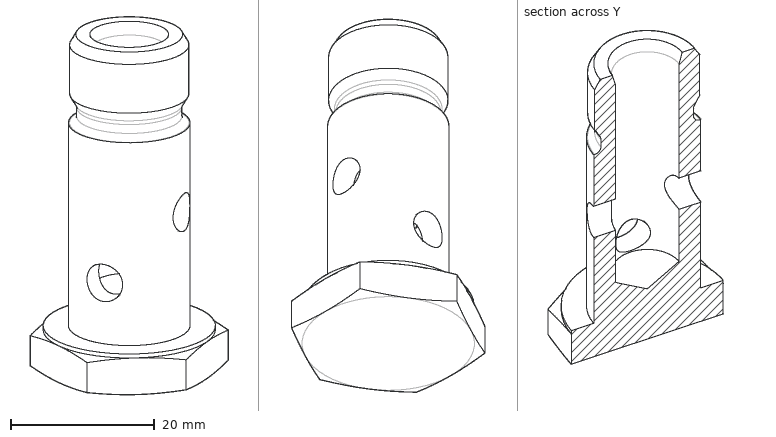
import cadquery as cq
import math

LENGTH = 49.0

HEAD_SIDES = 6
ACROSS_FLATS = 24.0
HEAD_HEIGHT = 6.05
WASHER_HEIGHT = 0.6
HEAD_CHAMFER_ANGLE = 15.0

BODY_DIAMETER = 16.95
BODY_TOP = 35.95
NECK_DIAMETER = 14.7
SHOULDER_FILLET = 1.0
THREAD_DIAMETER = 16.65
THREAD_BOTTOM = 40.3
RUNOUT_ANGLE = 30.0
RUNOUT_FILLET = 1.22
TIP_DIAMETER = 14.9
TIP_CHAMFER_HEIGHT = 1.5

BORE_DIAMETER = 10.0
BORE_MOUTH_DIAMETER = 11.0
BORE_MOUTH_DEPTH = 1.85
BORE_FLOOR = 12.0
DRILL_POINT_ANGLE = 118.0
CROSS_HOLE_DIAMETER = 5.5
LOWER_HOLE_Z = 15.0
UPPER_HOLE_Z = 24.0


def make_head():
    """Hexagon with both faces chamfered at the corners and a round washer face on top."""
    half_side_angle = 180 / HEAD_SIDES
    flat_radius = ACROSS_FLATS / 2
    corner_radius = flat_radius / math.cos(math.radians(half_side_angle))
    chamfer_drop = (corner_radius - flat_radius) * math.tan(math.radians(HEAD_CHAMFER_ANGLE))
    hex_top = HEAD_HEIGHT - WASHER_HEIGHT

    hexagon = (
        cq.Workplane("XY")
        .polygon(HEAD_SIDES, 2 * corner_radius)
        .extrude(HEAD_HEIGHT)
        .rotate((0, 0, 0), (0, 0, 1), half_side_angle)
    )
    turned_blank = (
        cq.Workplane("XZ")
        .moveTo(0, 0)
        .lineTo(flat_radius, 0)
        .lineTo(corner_radius, chamfer_drop)
        .lineTo(corner_radius, hex_top - chamfer_drop)
        .lineTo(flat_radius, hex_top)
        .lineTo(flat_radius, HEAD_HEIGHT)
        .lineTo(0, HEAD_HEIGHT)
        .close()
        .revolve(360, (0, 0, 0), (0, 1, 0))
    )
    return hexagon.intersect(turned_blank)


def make_shank():
    """Turned shank: plain body, undercut neck with filleted ends, and chamfered thread length."""
    body_radius = BODY_DIAMETER / 2
    neck_radius = NECK_DIAMETER / 2
    thread_radius = THREAD_DIAMETER / 2
    runout = math.radians(RUNOUT_ANGLE)

    blend_radius = neck_radius + RUNOUT_FILLET * (1 - math.cos(runout))
    blend_top = THREAD_BOTTOM - (thread_radius - blend_radius) / math.tan(runout)
    blend_bottom = blend_top - RUNOUT_FILLET * math.sin(runout)

    return (
        cq.Workplane("XZ")
        .moveTo(0, 0)
        .lineTo(body_radius, 0)
        .lineTo(body_radius, BODY_TOP)
        .lineTo(neck_radius + SHOULDER_FILLET, BODY_TOP)
        .tangentArcPoint((neck_radius, BODY_TOP + SHOULDER_FILLET), relative=False)
        .lineTo(neck_radius, blend_bottom)
        .tangentArcPoint((blend_radius, blend_top), relative=False)
        .lineTo(thread_radius, THREAD_BOTTOM)
        .lineTo(thread_radius, LENGTH - TIP_CHAMFER_HEIGHT)
        .lineTo(TIP_DIAMETER / 2, LENGTH)
        .lineTo(0, LENGTH)
        .close()
        .revolve(360, (0, 0, 0), (0, 1, 0))
    )


def make_bore():
    """Blind axial bore with a tapered mouth and a conical drill-point floor."""
    bore_radius = BORE_DIAMETER / 2
    point_depth = bore_radius / math.tan(math.radians(DRILL_POINT_ANGLE / 2))
    return (
        cq.Workplane("XZ")
        .moveTo(0, BORE_FLOOR - point_depth)
        .lineTo(bore_radius, BORE_FLOOR)
        .lineTo(bore_radius, LENGTH - BORE_MOUTH_DEPTH)
        .lineTo(BORE_MOUTH_DIAMETER / 2, LENGTH)
        .lineTo(0, LENGTH)
        .close()
        .revolve(360, (0, 0, 0), (0, 1, 0))
    )


def make_cross_hole(plane, height):
    """Cylinder through the whole shank, square to the given vertical plane."""
    return (
        cq.Workplane(plane)
        .center(0, height)
        .circle(CROSS_HOLE_DIAMETER / 2)
        .extrude(BODY_DIAMETER, both=True)
    )


result = make_head().union(make_shank()).cut(make_bore())
for hole_plane, hole_height in (("XZ", LOWER_HOLE_Z), ("YZ", UPPER_HOLE_Z)):
    result = result.cut(make_cross_hole(hole_plane, hole_height))